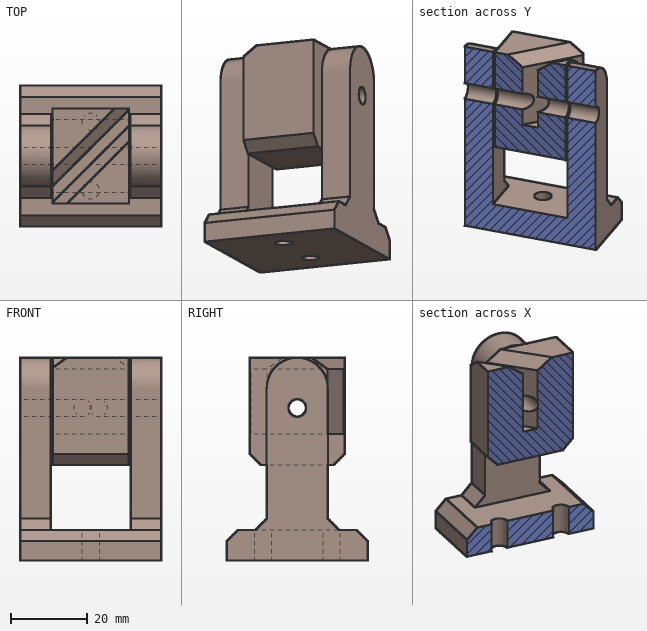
import cadquery as cq
import math

total_height = 53.15
base_size = 37.0
base_height = 8.0
chamfer = 3.0
arm_thickness = 8.0
arm_width = 16.0
arm_radius = arm_width / 2
bore_diameter = 4.5
bore_height = 39.95
mounting_offset = 9.0

side_gap = 0.5
arm_spacing = base_size - 2 * arm_thickness
block_width = arm_spacing - 2 * side_gap
block_depth = 25.0
block_bottom = 25.0
slot_width = 3.0
slot_depth = 20.0
slot_chamfer_width = 2.9
slot_angle = 45.0
slot_length = 2 * math.hypot(block_width, block_depth)


def pivot_bore():
    """Cylinder along X that passes through both arms and the block."""
    return (
        cq.Workplane("YZ")
        .center(0, bore_height)
        .circle(bore_diameter / 2)
        .extrude(base_size / 2, both=True)
    )


def make_base():
    """Plate with its two long top edges chamfered and two mounting holes."""
    plate = cq.Workplane("XY").box(base_size, base_size, base_height, centered=(True, True, False))
    plate = plate.faces(">Z").edges("|X").chamfer(chamfer)
    holes = (
        cq.Workplane("XY")
        .pushPoints([(0, -mounting_offset), (0, mounting_offset)])
        .circle(bore_diameter / 2)
        .extrude(base_height)
    )
    return plate.cut(holes)


def make_arm(x_start):
    """Upright arm with a flared foot and a round top, starting at x_start."""
    foot_half_width = arm_radius + chamfer
    foot_top = base_height + chamfer
    round_center = total_height - arm_radius
    return (
        cq.Workplane("YZ", origin=(x_start, 0, 0))
        .moveTo(-foot_half_width, base_height)
        .lineTo(foot_half_width, base_height)
        .lineTo(arm_radius, foot_top)
        .lineTo(arm_radius, round_center)
        .threePointArc((0, total_height), (-arm_radius, round_center))
        .lineTo(-arm_radius, foot_top)
        .close()
        .extrude(arm_thickness)
    )


def make_bracket():
    bracket = make_base()
    for x_start in (-base_size / 2, arm_spacing / 2):
        bracket = bracket.union(make_arm(x_start))
    return bracket.cut(pivot_bore())


def diagonal_slot():
    """Cutter for the diagonal slot, with a flared mouth at the block top."""
    half_width = slot_width / 2
    mouth_half_width = half_width + slot_chamfer_width
    floor = total_height - slot_depth
    mouth_bottom = total_height - chamfer
    return (
        cq.Workplane("XZ")
        .polyline([
            (-half_width, floor),
            (half_width, floor),
            (half_width, mouth_bottom),
            (mouth_half_width, total_height),
            (-mouth_half_width, total_height),
            (-half_width, mouth_bottom),
        ])
        .close()
        .extrude(slot_length / 2, both=True)
        .rotate((0, 0, 0), (0, 0, 1), -slot_angle)
    )


def make_block():
    """Block with chamfered lower edges, a diagonal slot and the pivot bore."""
    block = (
        cq.Workplane("XY", origin=(0, 0, block_bottom))
        .box(block_width, block_depth, total_height - block_bottom, centered=(True, True, False))
        .faces("<Z")
        .edges("|X")
        .chamfer(chamfer)
    )
    return block.cut(diagonal_slot()).cut(pivot_bore())


bracket = make_bracket()
block = make_block()

result = cq.Compound.makeCompound([bracket.solids().val(), block.solids().val()])